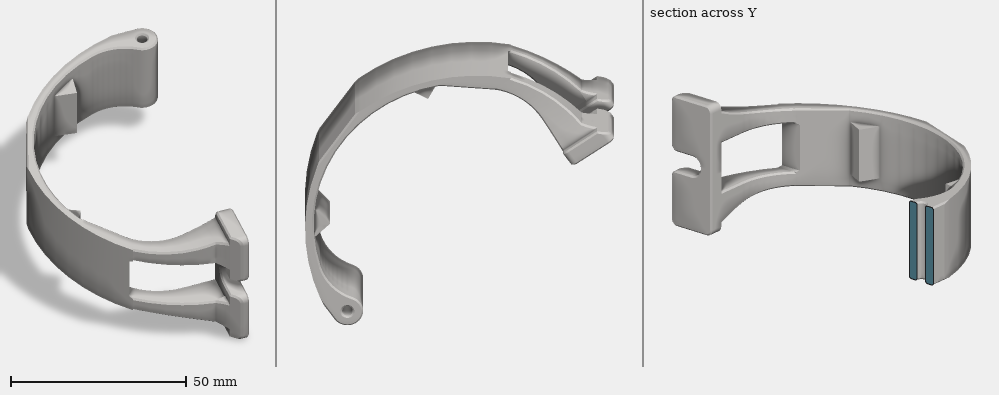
import cadquery as cq
import math


band_height = 24.0
edge_chamfer = 0.5
tolerance = 0.01
length_x = 99.72
depth_y = 53.68

eye_radius = 4.5
pin_diameter = 3.0
eye_side_length = 5.1

outer_radius = 56.0
inner_radius = 44.0
wall_at_bottom = 2.8
neck_radius = 14.8
outer_center_x = 40.4
inner_center_x = 43.6
flat_start = (20.15, -42.9)
flat_end_x = 37.0
inner_end_x = 61.8

plate_width = 15.0
plate_height = 40.0
plate_thickness = 5.0
plate_face_y = -3.0
plate_corner_radius = 2.0
plate_bevel = 2.7
slot_width = 6.0
slot_depth = 10.75

arm_start_x = 79.95
arm_outer_radius = 49.0
arm_blend_start = (89.35, -11.1)
arm_blend_radius = 20.0
blend_root = 0.6
blend_spread = 0.8
arm_inner_radius = 20.0
arm_inner_straight_end_y = -17.9
arm_overlap = 2.0
arm_height_at_plate = 34.3
window_height = 15.0
window_foot_depth = 0.7

tooth_height = 16.0
teeth = [
    {"tip": (10.6, -23.8), "angle": 171.5, "leg": 8.0},
    {"tip": (55.8, -39.7), "angle": -117.0, "leg": 7.2},
]

left_x = -eye_radius
right_x = left_x + length_x
bottom_y = eye_radius - depth_y
plate_left_x = right_x - plate_width
plate_back_y = plate_face_y - plate_thickness
arm_top_y = plate_back_y + arm_overlap
outer_center = (outer_center_x, bottom_y + outer_radius)
inner_center = (inner_center_x, bottom_y + wall_at_bottom + inner_radius)


def lower_arc_y(center, radius, x):
    """Y of the lower half of a circle at the given X."""
    return center[1] - math.sqrt(radius**2 - (x - center[0]) ** 2)


flat_end = (flat_end_x, lower_arc_y(outer_center, outer_radius, flat_end_x))
arm_start = (arm_start_x, lower_arc_y(outer_center, outer_radius, arm_start_x))
inner_end = (inner_end_x, lower_arc_y(inner_center, inner_radius, inner_end_x))

arm_inner_drop = arm_inner_straight_end_y - arm_start[1]
arm_inner_reach = math.sqrt(arm_inner_radius**2 - arm_inner_drop**2)
arm_inner_start = (plate_left_x - arm_inner_radius + arm_inner_reach, arm_start[1])


def neck_points():
    """Tangent points of the neck blend on the eye and on the inner surface of the band."""
    to_eye = eye_radius + neck_radius
    to_inner = inner_radius - neck_radius
    span = math.hypot(*inner_center)
    toward_inner = math.atan2(inner_center[1], inner_center[0])
    cos_turn = (to_eye**2 + span**2 - to_inner**2) / (2 * to_eye * span)
    angle = toward_inner - math.acos(cos_turn)
    neck = (to_eye * math.cos(angle), to_eye * math.sin(angle))
    on_eye = (eye_radius * math.cos(angle), eye_radius * math.sin(angle))
    stretch = inner_radius / to_inner
    on_inner = tuple(c + (n - c) * stretch for c, n in zip(inner_center, neck))
    return on_eye, on_inner


def chamfer_edges(body, keep_edge):
    """Chamfer the edges of a body that satisfy a test."""
    edges = [edge for edge in body.edges().vals() if keep_edge(edge)]
    return body.newObject(edges).chamfer(edge_chamfer)


def make_band():
    on_eye, on_inner = neck_points()
    body = (
        cq.Workplane("XY", origin=(0, 0, -band_height / 2))
        .moveTo(left_x, 0)
        .lineTo(left_x, -eye_side_length)
        .radiusArc(flat_start, -outer_radius)
        .lineTo(*flat_end)
        .radiusArc(arm_start, -outer_radius)
        .lineTo(*arm_inner_start)
        .lineTo(*inner_end)
        .radiusArc(on_inner, inner_radius)
        .radiusArc(on_eye, neck_radius)
        .threePointArc((0, eye_radius), (left_x, 0))
        .close()
        .extrude(band_height)
        .faces("<Z")
        .workplane(origin=(0, 0, 0))
        .hole(pin_diameter)
    )

    def is_broken_edge(edge):
        """Rim edges, except the two outer arcs and the joint with the arm."""
        if abs(abs(edge.Center().z) - band_height / 2) > tolerance:
            return False
        if edge.geomType() == "CIRCLE":
            return abs(edge.radius() - outer_radius) > tolerance
        return abs(edge.Center().y - arm_start[1]) > tolerance

    return chamfer_edges(body, is_broken_edge)


def make_arm_envelope(window_edge):
    """Side outline of one leg: the given window edge below it, the flare above it."""
    half_low = band_height / 2
    half_high = arm_height_at_plate / 2
    rise = half_high - half_low
    run = plate_back_y - arm_start[1]
    flare_radius = (run**2 + rise**2) / (2 * rise)
    return (
        cq.Workplane("YZ")
        .moveTo(arm_start[1], half_low)
        .radiusArc((plate_back_y, half_high), -flare_radius)
        .lineTo(arm_top_y, half_high)
        .polyline(window_edge, includeCurrent=True)
        .close()
        .extrude(right_x)
    )


def make_leg_part(outline, window_edge):
    """Extrude a closed plan outline, trim it to one leg and chamfer its long edges."""
    body = outline.extrude(plate_height).intersect(make_arm_envelope(window_edge))

    def is_broken_edge(edge):
        """Edges that follow the plan outline outside the plate."""
        box = edge.BoundingBox()
        is_across = box.ymax - box.ymin < tolerance
        is_upright = box.xmax - box.xmin < tolerance and edge.startPoint().x > plate_left_x + tolerance
        is_inside_plate = box.ymin > plate_back_y - tolerance
        return not (is_across or is_upright or is_inside_plate)

    return chamfer_edges(body, is_broken_edge)


def make_arm():
    main_outline = (
        cq.Workplane("XY")
        .moveTo(*arm_start)
        .radiusArc(arm_blend_start, -arm_outer_radius)
        .lineTo(arm_blend_start[0], arm_top_y)
        .lineTo(plate_left_x, arm_top_y)
        .lineTo(plate_left_x, arm_inner_straight_end_y)
        .radiusArc(arm_inner_start, arm_inner_radius)
        .close()
    )
    bevel_start = (right_x - plate_bevel, plate_back_y)
    blend_outline = (
        cq.Workplane("XY")
        .moveTo(*arm_blend_start)
        .radiusArc(bevel_start, arm_blend_radius)
        .lineTo(bevel_start[0], arm_top_y)
        .lineTo(arm_blend_start[0] - blend_root, arm_top_y)
        .lineTo(arm_blend_start[0] - blend_root, arm_blend_start[1])
        .close()
    )
    half_window = window_height / 2
    half_narrow = half_window - blend_spread
    straight_edge = [(arm_top_y, half_window), (arm_start[1], half_window)]
    spreading_edge = [
        (arm_top_y, half_narrow),
        (plate_back_y, half_narrow),
        (arm_blend_start[1], half_window),
        (arm_start[1], half_window),
    ]
    main_part = make_leg_part(main_outline, straight_edge)
    blend_part = make_leg_part(blend_outline, spreading_edge)
    leg = main_part.union(blend_part)
    return leg.union(leg.mirror("XY"))


def make_window_foot():
    """Foot of the window, narrowing by a chamfer at each corner."""
    half_open = window_height / 2
    half_foot = half_open - edge_chamfer
    foot_y = arm_start[1] - window_foot_depth
    return (
        cq.Workplane("YZ", origin=(inner_end[0], 0, 0))
        .polyline([
            (arm_start[1], -half_open),
            (arm_start[1], half_open),
            (foot_y, half_foot),
            (foot_y, -half_foot),
        ])
        .close()
        .extrude(plate_left_x - inner_end[0])
    )


def make_plate():
    body = (
        cq.Workplane("XZ", origin=(0, plate_face_y, 0))
        .center((plate_left_x + right_x) / 2, 0)
        .rect(plate_width, plate_height)
        .extrude(plate_thickness)
    )
    slot = (
        cq.Workplane("XZ", origin=(0, plate_face_y, 0))
        .center(right_x, 0)
        .slot2D(2 * slot_depth, slot_width)
        .extrude(plate_thickness)
    )
    body = body.cut(slot)
    outer_corners = body.edges("|Y and (<X or >X)")
    body = outer_corners.fillet(plate_corner_radius)
    bevel = (
        cq.Workplane("XY", origin=(0, 0, -plate_height / 2))
        .moveTo(right_x, plate_back_y)
        .lineTo(right_x - plate_bevel, plate_back_y)
        .lineTo(right_x, plate_back_y + plate_bevel)
        .close()
        .extrude(plate_height)
    )
    body = body.cut(bevel)

    def is_broken_edge(edge):
        """Rim edges of both broad faces, carried on along the ends of the bevel."""
        box = edge.BoundingBox()
        is_line = edge.geomType() == "LINE"
        is_bevel_border = is_line and box.xmin > right_x - plate_bevel - tolerance
        is_through = is_line and box.ymax - box.ymin > tolerance and not is_bevel_border
        is_face_rim = box.ymin > plate_face_y - tolerance
        is_back_rim = box.ymax < plate_back_y + plate_bevel + tolerance
        return is_face_rim or (is_back_rim and not is_bevel_border and not is_through)

    return chamfer_edges(body, is_broken_edge)


def make_tooth(tip, angle, leg):
    """Right-angled tooth whose long side is buried in the band."""
    return (
        cq.Workplane("XY", origin=(tip[0], tip[1], -tooth_height / 2))
        .transformed(rotate=(0, 0, angle))
        .polyline([(0, 0), (leg, 0), (0, leg)])
        .close()
        .extrude(tooth_height)
    )


result = make_band().cut(make_window_foot()).union(make_arm()).union(make_plate())
for tooth in teeth:
    result = result.union(make_tooth(**tooth))